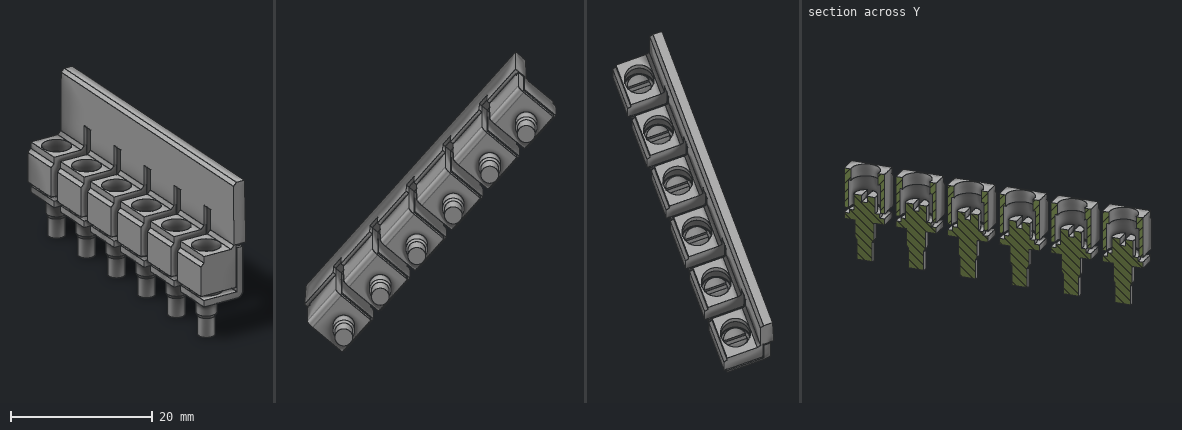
import cadquery as cq


LENGTH = 45.75
DEPTH = 7.55
HEIGHT = 24.0
TOOTH_COUNT = 6
TOOTH_WIDTH = 6.2
PITCH = (LENGTH - TOOTH_WIDTH) / (TOOTH_COUNT - 1)
SLOT_WIDTH = PITCH - TOOTH_WIDTH
SLOT_TOP = 17.5
TOOTH_CENTRES = [(i - (TOOTH_COUNT - 1) / 2) * PITCH for i in range(TOOTH_COUNT)]
SLOT_CENTRES = [x + PITCH / 2 for x in TOOTH_CENTRES[:-1]]

METAL = 1.0
FOOT_BOTTOM = 6.0
FOOT_TOP = FOOT_BOTTOM + METAL
BEND_RADIUS = METAL

SKIN = 0.5
WALL_FRONT = DEPTH - METAL - 2 * SKIN
BAR_FRONT = WALL_FRONT + SKIN
BAR_REAR = BAR_FRONT + METAL
BAR_TOP = HEIGHT - 2 * SKIN
WALL_TAPER = 0.15
BLOCK_TOP = 13.85
BLOCK_BOTTOM = 7.75
WALL_BOTTOM = BLOCK_TOP + SKIN
LEDGE_TOP = 12.85
BLOCK_GAP = 0.15
BLOCK_REAR = BAR_FRONT - BLOCK_GAP

SCREW_Y = 2.9
ACCESS_DIAMETER = 4.2
BORE_DIAMETER = 4.95
BORE_TOP = 12.03
COLLAR_DIAMETER = 4.75
COLLAR_TOP = 7.6
HEAD_DIAMETER = 3.4
HEAD_TOP = 10.05
DRIVER_SLOT_WIDTH = 0.8
DRIVER_SLOT_DEPTH = 1.0
SHANK_DIAMETER = 3.05
SHANK_BOTTOM = 3.48
TIP_DIAMETER = 2.5
TIP_TOP = 2.95


def extrude_profile(points, centre_x, width):
    """Extrude a closed (Y, Z) outline along X, centred on centre_x."""
    plane = cq.Workplane("YZ", origin=(centre_x - width / 2, 0, 0))
    return plane.polyline(points).close().extrude(width)


def box_between(centre_x, width, y_range, z_range):
    """Make a box from its X centre and width and its Y and Z limits."""
    front, rear = y_range
    bottom, top = z_range
    corners = [(front, bottom), (rear, bottom), (rear, top), (front, top)]
    return extrude_profile(corners, centre_x, width)


def cylinder(centre_x, diameter, bottom, top):
    """Make an upright cylinder on a screw axis."""
    plane = cq.Workplane("XY", origin=(centre_x, SCREW_Y, bottom))
    return plane.circle(diameter / 2).extrude(top - bottom)


def slots():
    """Gaps between the teeth, cutting the wall from front to rear."""
    cutters = cq.Workplane("XY")
    for x in SLOT_CENTRES:
        cutters = cutters.add(box_between(x, SLOT_WIDTH, (0, DEPTH), (0, SLOT_TOP)))
    return cutters.combine()


def busbar():
    """Upright bar inside the wall, set in by one skin at both ends."""
    return box_between(0, LENGTH - 2 * SKIN, (BAR_FRONT, BAR_REAR), (BLOCK_TOP, BAR_TOP))


def block(x):
    """Clamping block of one tooth with a sloped ledge and a bore for the screw."""
    outline = [
        (0, BLOCK_BOTTOM),
        (BLOCK_REAR, BLOCK_BOTTOM),
        (BLOCK_REAR, WALL_BOTTOM),
        (WALL_FRONT, WALL_BOTTOM),
        (WALL_FRONT - SKIN, BLOCK_TOP),
        (SKIN, BLOCK_TOP),
        (SKIN, LEDGE_TOP),
        (0, LEDGE_TOP - SKIN),
    ]
    access_hole = cylinder(x, ACCESS_DIAMETER, BORE_TOP, BLOCK_TOP)
    bore = cylinder(x, BORE_DIAMETER, BLOCK_BOTTOM, BORE_TOP)
    return extrude_profile(outline, x, TOOTH_WIDTH).cut(access_hole).cut(bore)


def wall():
    """Upright wall with a chamfered front top edge, its rear and ends leaning in to the top."""
    side_outline = [
        (WALL_FRONT, WALL_BOTTOM),
        (DEPTH, WALL_BOTTOM),
        (DEPTH - WALL_TAPER, HEIGHT),
        (WALL_FRONT + SKIN, HEIGHT),
        (WALL_FRONT, HEIGHT - SKIN),
    ]
    front_outline = [
        (-LENGTH / 2, WALL_BOTTOM),
        (LENGTH / 2, WALL_BOTTOM),
        (LENGTH / 2 - WALL_TAPER, HEIGHT),
        (-LENGTH / 2 + WALL_TAPER, HEIGHT),
    ]
    tapered_ends = cq.Workplane("XZ").polyline(front_outline).close().extrude(-DEPTH)
    return extrude_profile(side_outline, 0, LENGTH).intersect(tapered_ends)


def make_housing():
    """Wall, slotted and hollowed for the busbar, plus the clamping blocks."""
    housing = wall().cut(slots()).cut(busbar())
    for x in TOOTH_CENTRES:
        housing = housing.union(block(x))
    return housing


def bent_leg(x):
    """Leg below the bar, bent forward into the foot that carries the screw."""
    outline = [
        (SKIN, FOOT_BOTTOM),
        (BAR_REAR, FOOT_BOTTOM),
        (BAR_REAR, BLOCK_TOP),
        (BAR_FRONT, BLOCK_TOP),
        (BAR_FRONT, FOOT_TOP),
        (SKIN, FOOT_TOP),
    ]
    return extrude_profile(outline, x, TOOTH_WIDTH).edges("|X and >Y and <Z").fillet(BEND_RADIUS)


def screw(x):
    """Slotted head, collar, shank and tip, revolved about the screw axis."""
    outline = [
        (0, 0),
        (TIP_DIAMETER / 2, 0),
        (TIP_DIAMETER / 2, TIP_TOP),
        (SHANK_DIAMETER / 2, SHANK_BOTTOM),
        (SHANK_DIAMETER / 2, FOOT_TOP),
        (COLLAR_DIAMETER / 2, FOOT_TOP),
        (COLLAR_DIAMETER / 2, COLLAR_TOP),
        (HEAD_DIAMETER / 2, COLLAR_TOP),
        (HEAD_DIAMETER / 2, HEAD_TOP),
        (0, HEAD_TOP),
    ]
    axis_plane = cq.Workplane("XZ", origin=(x, SCREW_Y, 0))
    body = axis_plane.polyline(outline).close().revolve(360, (0, 0, 0), (0, 1, 0))
    slot_y = (SCREW_Y - HEAD_DIAMETER / 2, SCREW_Y + HEAD_DIAMETER / 2)
    driver_slot = box_between(x, DRIVER_SLOT_WIDTH, slot_y, (HEAD_TOP - DRIVER_SLOT_DEPTH, HEAD_TOP))
    return body.cut(driver_slot)


def make_comb():
    """Slotted busbar with six bent legs, each carrying its screw."""
    comb = busbar().cut(slots())
    for x in TOOTH_CENTRES:
        comb = comb.union(bent_leg(x)).union(screw(x))
    return comb


housing = make_housing()
comb = make_comb()
result = cq.Compound.makeCompound([housing.solids().val(), comb.solids().val()])